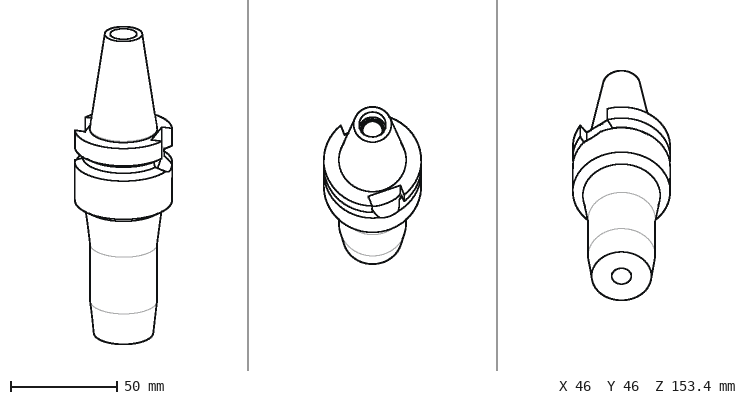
import cadquery as cq

total_length = 153.4
nose_taper_top = 16.5
shank_top = 45.7
neck_top = 65.0
collar_bottom = 68.1
collar_top = 87.7
groove_bottom = 90.2
groove_top = 93.3
flange_bottom = 95.5
flange_top = 104.5
cone_bottom = 105.2

nose_radius = 14.1
shank_diameter = 31.8
shank_radius = shank_diameter / 2
neck_radius = 18.3
flange_radius = 23.0
groove_radius = 19.3
cone_end_radius = 8.9

bore_radius = 4.6
entry_bore_radius = 6.3
entry_bore_depth = 7.0
middle_bore_radius = 5.4
middle_bore_depth = 8.3

slot_width = 16.1
slot_bottom = 86.2
slot_floor_distance = 16.4


def revolved(profile):
    """Solid of revolution about Z from (radius, height) points."""
    return cq.Workplane("XZ").polyline(profile).close().revolve(360, (0, 0), (0, 1))


def turned_body():
    """Outer shape of the holder."""
    profile = [
        (0, 0),
        (nose_radius, 0),
        (shank_radius, nose_taper_top),
        (shank_radius, shank_top),
        (neck_radius, neck_top),
        (flange_radius, collar_bottom),
        (flange_radius, collar_top),
        (groove_radius, groove_bottom),
        (groove_radius, groove_top),
        (flange_radius, flange_bottom),
        (flange_radius, flange_top),
        (shank_radius, flange_top),
        (shank_radius, cone_bottom),
        (cone_end_radius, total_length),
        (0, total_length),
    ]
    return revolved(profile)


def stepped_bore():
    """Through bore with two wider steps at the cone end."""
    middle_floor = total_length - middle_bore_depth
    entry_floor = total_length - entry_bore_depth
    profile = [
        (0, 0),
        (bore_radius, 0),
        (bore_radius, middle_floor),
        (middle_bore_radius, middle_floor),
        (middle_bore_radius, entry_floor),
        (entry_bore_radius, entry_floor),
        (entry_bore_radius, total_length),
        (0, total_length),
    ]
    return revolved(profile)


def drive_slot(side):
    """Round-bottomed slot open at the flange top; side is +1 or -1 along X."""
    half_width = slot_width / 2
    arc_height = slot_bottom + half_width
    return (
        cq.Workplane("YZ", origin=(side * slot_floor_distance, 0, 0))
        .moveTo(-half_width, flange_top)
        .lineTo(-half_width, arc_height)
        .threePointArc((0, slot_bottom), (half_width, arc_height))
        .lineTo(half_width, flange_top)
        .close()
        .extrude(side * flange_radius)
    )


result = turned_body().cut(stepped_bore())
for slot_side in (-1, 1):
    result = result.cut(drive_slot(slot_side))